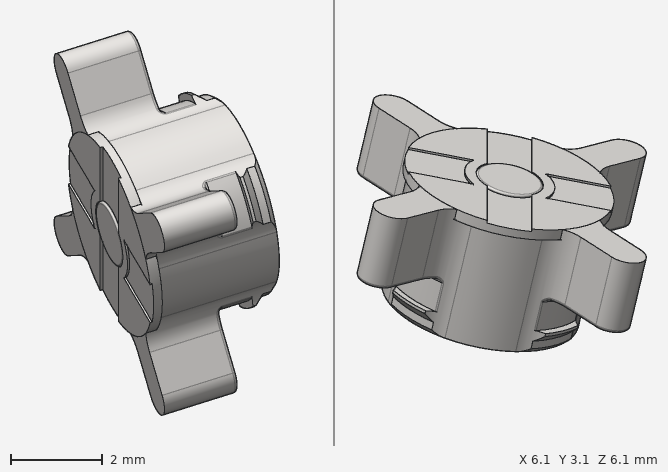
import cadquery as cq
import math

hub_length = 3.1
barrel_radius = 2.2
span = 6.1
arm_half_width = 0.45
arm_depth = 1.75
arm_root_radius = 0.75
arm_edge_fillet = 0.075
arm_count = 4
selection_margin = 0.005

groove_radius = 2.295
lip_radius = 2.46
lip_front = 2.53
lip_cone_start = 2.605
lip_cone_end = 2.795
rear_chamfer_start = 2.98

disc_radius = 2.335
disc_thickness = 0.255
cross_slot_width = 1.0
cross_slot_depth = 0.06
side_slot_width = 1.21
side_slot_depth = 0.05
collar_radius = 1.005

pin_radius = 0.75
pin_edge_fillet = 0.05

arm_step = 360 / arm_count
tip_center = (span / 2 - arm_half_width) * math.sqrt(2)
root_center_v = arm_half_width + arm_root_radius
root_center_u = math.sqrt((barrel_radius + arm_root_radius) ** 2 - root_center_v ** 2)
tangent_ratio = barrel_radius / (barrel_radius + arm_root_radius)
root_angle = math.atan2(root_center_v, root_center_u)


def cylinder_y(radius, start, end):
    """Solid cylinder on the Y axis from y = start to y = end."""
    return cq.Workplane("XZ", origin=(0, start, 0)).circle(radius).extrude(start - end)


def arm_blank():
    """Full-length arm pointing along +X, with concave roots tangent to the barrel."""
    root_start_u = root_center_u * tangent_ratio
    root_start_v = root_center_v * tangent_ratio
    barrel_direction = root_angle + math.pi
    flank_direction = 1.5 * math.pi
    bisector = (barrel_direction + flank_direction) / 2
    root_mid_u = root_center_u + arm_root_radius * math.cos(bisector)
    root_mid_v = root_center_v + arm_root_radius * math.sin(bisector)
    return (
        cq.Workplane("XZ")
        .moveTo(0, 0)
        .lineTo(root_start_u, root_start_v)
        .threePointArc((root_mid_u, root_mid_v), (root_center_u, arm_half_width))
        .lineTo(tip_center, arm_half_width)
        .threePointArc((tip_center + arm_half_width, 0), (tip_center, -arm_half_width))
        .lineTo(root_center_u, -arm_half_width)
        .threePointArc((root_mid_u, -root_mid_v), (root_start_u, -root_start_v))
        .close()
        .extrude(-hub_length)
    )


def arm_envelope():
    """Revolved profile that limits the arms: full reach in front, groove and lip behind."""
    return (
        cq.Workplane("XY")
        .polyline([
            (0, 0),
            (span, 0),
            (span, arm_depth),
            (groove_radius, arm_depth),
            (groove_radius, lip_front),
            (lip_radius, lip_front),
            (lip_radius, lip_cone_start),
            (groove_radius, lip_cone_end),
            (groove_radius, rear_chamfer_start),
            (barrel_radius, hub_length),
            (0, hub_length),
        ])
        .close()
        .revolve(360, (0, 0, 0), (0, 1, 0))
    )


def make_arm():
    """Finished arm with its stepped rear end and rounded rear edges."""
    arm = arm_blank().intersect(arm_envelope())
    back_edges = cq.selectors.BoxSelector(
        (barrel_radius, arm_depth - selection_margin, -span),
        (span, lip_front - selection_margin, span),
    )
    return arm.edges(back_edges).fillet(arm_edge_fillet)


def make_hub():
    """Barrel with its four arms and the recess that holds the disc."""
    hub = cylinder_y(barrel_radius, 0, hub_length)
    arm = make_arm()
    for i in range(arm_count):
        hub = hub.union(arm.rotate((0, 0, 0), (0, 1, 0), arm_step * (i + 0.5)))
    return hub.cut(cylinder_y(disc_radius, 0, disc_thickness))


def make_disc():
    """Disc with a vertical slot, two side slots that stop at a round collar, and the pin hole."""
    disc = cylinder_y(disc_radius, 0, disc_thickness)
    cross_slot = cq.Workplane("XZ").rect(cross_slot_width, 2 * disc_radius).extrude(-cross_slot_depth)
    side_slots = (
        cq.Workplane("XZ")
        .rect(2 * disc_radius, side_slot_width)
        .extrude(-side_slot_depth)
        .cut(cylinder_y(collar_radius, 0, side_slot_depth))
    )
    pin_hole = cylinder_y(pin_radius, 0, disc_thickness)
    return disc.cut(cross_slot).cut(side_slots).cut(pin_hole)


def make_pin():
    """Pin through the disc, rounded at its front edge."""
    return cylinder_y(pin_radius, 0, disc_thickness).faces("<Y").edges().fillet(pin_edge_fillet)


hub = make_hub()
disc = make_disc()
pin = make_pin()
result = cq.Compound.makeCompound([hub.val(), disc.val(), pin.val()])